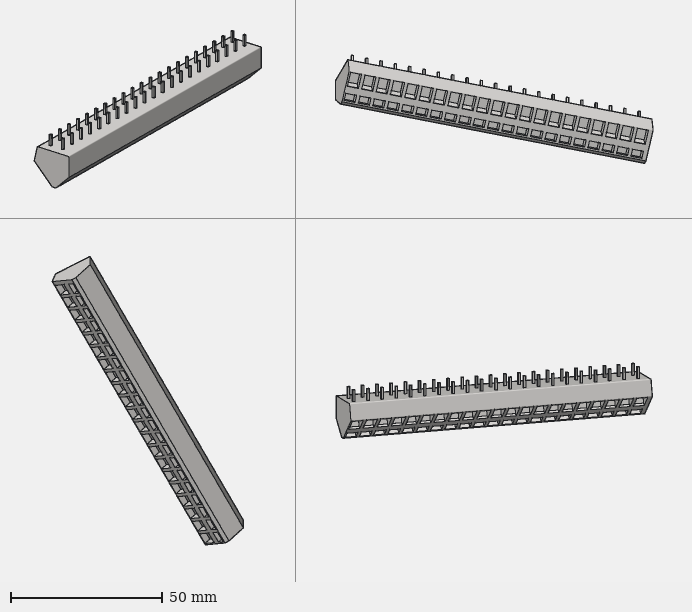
import cadquery as cq
import math

length = 106.0
width = 14.3
height = 17.0

poles = 21
end_plate = 1.0
pitch = (length - end_plate) / poles
first_pole_y = end_plate + pitch / 2

pin_length = 3.9
body_top = height - pin_length
top_edge_radius = 0.4
corner_radius = 0.3
wall_lean = math.radians(13)
face_slope = math.radians(45)
sloped_face_foot = 7.4
bottom_flat = 1.5
right_slope_foot = sloped_face_foot + bottom_flat
right_slope_top = width - right_slope_foot

pin_side = 0.7
first_row_x = 4.2
pin_rows_x = (first_row_x, first_row_x + pitch)

opening_width = 3.8
lower_opening_bottom = 0.4
lower_opening_top = 2.1
lower_opening_depth = 2.6
upper_opening_bottom = 3.8
upper_opening_top = 7.2
entry_depth = 0.9
ramp_top = 6.4


def inside_face(face_z, depth):
    """XZ point at a given depth, square to the sloped face, behind its height face_z."""
    step = depth * math.cos(face_slope)
    return (sloped_face_foot - face_z + step, face_z + step)


def prism(points, y_start, y_size):
    """Extrude an XZ outline from y_start toward +Y."""
    plane = cq.Workplane("XZ", origin=(0, y_start, 0))
    return plane.polyline(points).close().extrude(-y_size)


def make_body():
    half_turn = (face_slope + wall_lean) / 2
    tilt = (face_slope - wall_lean) / 2
    corner_x = -corner_radius * (math.cos(tilt) / math.cos(half_turn) - 1)
    corner_z = sloped_face_foot - corner_x
    top_left_x = corner_x + (body_top - corner_z) * math.tan(wall_lean)
    outline = [
        (sloped_face_foot, 0),
        (right_slope_foot, 0),
        (width, right_slope_top),
        (width, body_top),
        (top_left_x, body_top),
        (corner_x, corner_z),
    ]
    body = prism(outline, 0, length)
    body = body.faces(">Z").edges("|Y").fillet(top_edge_radius)
    return body.edges("|Y and <X").fillet(corner_radius)


def lower_opening_outline():
    return [
        inside_face(lower_opening_bottom, 0),
        inside_face(lower_opening_bottom, lower_opening_depth),
        inside_face(lower_opening_top, lower_opening_depth),
        inside_face(lower_opening_top, 0),
    ]


def upper_opening_outline():
    ramp_x, ramp_z = inside_face(upper_opening_bottom, entry_depth)
    floor_x = ramp_x + (ramp_top - ramp_z) * math.tan(wall_lean)
    floor_depth = (floor_x + ramp_top - sloped_face_foot) * math.cos(face_slope)
    return [
        inside_face(upper_opening_bottom, 0),
        (ramp_x, ramp_z),
        (floor_x, ramp_top),
        inside_face(upper_opening_top, floor_depth),
        inside_face(upper_opening_top, 0),
    ]


def at_each_pole(shape):
    """Copies of a shape that is centred on Y = 0, one at each pole."""
    return [shape.val().translate(cq.Vector(0, first_pole_y + i * pitch, 0)) for i in range(poles)]


result = make_body()

for outline in (lower_opening_outline(), upper_opening_outline()):
    opening = prism(outline, -opening_width / 2, opening_width)
    result = result.cut(cq.Compound.makeCompound(at_each_pole(opening)))

for row_x in pin_rows_x:
    pin = (
        cq.Workplane("XY", origin=(row_x, 0, body_top))
        .rect(pin_side, pin_side)
        .extrude(pin_length)
    )
    result = result.union(cq.Compound.makeCompound(at_each_pole(pin)))